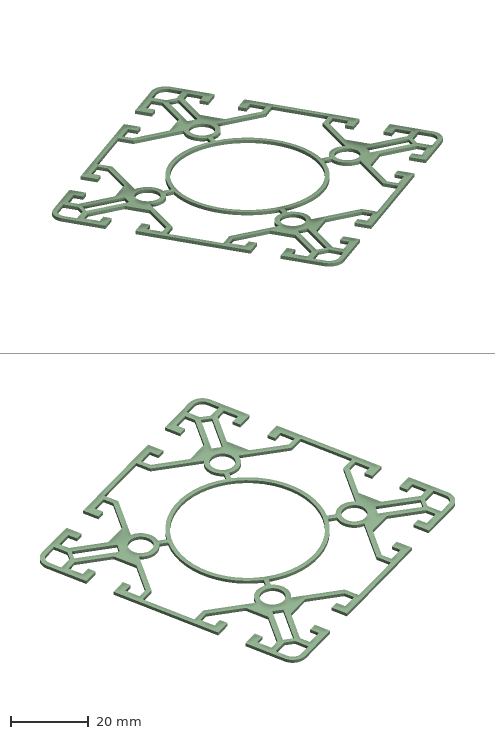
import cadquery as cq
import math

side = 80.0
thickness = 1.0
half_side = side / 2
slot_pitch = side / 2
node = slot_pitch / 2
corner_radius = 4.0
skin = 1.4

slot_mouth = 8.2
slot_width = 21.6
lip_thickness = 2.3
lip_depth = 4.6
flange = 2.0
slot_shoulder_depth = 5.0
slot_floor_depth = 12.3

corner_wall = 1.7
pocket_chamfer = 2.0

diagonal_slot_width = 3.0
diagonal_slot_length = 12.0
diagonal_slot_offset = 5.9

cavity_wall = 1.4
cavity_shoulder_depth = 5.7

screw_hole_diameter = 6.7
boss_diameter = 9.6
ring_inner_diameter = 40.0
ring_outer_diameter = 42.4
web_width = 1.4


def prism(points):
    return cq.Workplane("XY").polyline(points).close().extrude(thickness)


def disc(diameter, x=0, y=0):
    return cq.Workplane("XY").center(x, y).circle(diameter / 2).extrude(thickness)


def diagonal_bar(start, end, width):
    """Bar along the +X+Y diagonal between two distances from the centre."""
    length = end - start
    bar = cq.Workplane("XY").center((start + end) / 2, 0).rect(length, width).extrude(thickness)
    return bar.rotate((0, 0, 0), (0, 0, 1), 45)


def quarter_turns(shape):
    return [shape.rotate((0, 0, 0), (0, 0, 1), 90 * turn) for turn in range(4)]


def t_slot(x):
    """T-slot in the +Y side, centred at x."""
    mouth = slot_mouth / 2
    inside_lip = mouth + lip_thickness
    wide = slot_width / 2
    floor = wide - (slot_floor_depth - slot_shoulder_depth)
    right_half = [
        (mouth, 0),
        (mouth, lip_depth),
        (inside_lip, lip_depth),
        (inside_lip, flange),
        (wide, flange),
        (wide, slot_shoulder_depth),
        (floor, slot_floor_depth),
    ]
    right = [(x + across, half_side - depth) for across, depth in right_half]
    left = [(x - across, half_side - depth) for across, depth in reversed(right_half)]
    return prism(right + left)


def corner_pocket():
    """Pocket in the +X+Y corner, rounded outside and chamfered inside."""
    outer = half_side - skin
    inner = node + slot_width / 2 + corner_wall
    size = outer - inner
    middle = (outer + inner) / 2
    block = cq.Workplane("XY").center(middle, middle).rect(size, size).extrude(thickness)
    block = block.edges("|Z and >X and >Y").fillet(corner_radius - skin)
    return block.edges("|Z and <X and <Y").chamfer(pocket_chamfer)


def central_cavity():
    """Cross-shaped cavity with 45 degree flanks between its four arms."""
    arm_half_width = node - slot_width / 2 - cavity_wall
    arm_end = half_side - skin
    shoulder = half_side - cavity_shoulder_depth
    points = []
    for turn in range(4):
        angle = math.radians(90 * turn)
        for x, y in [
            (shoulder, -arm_half_width),
            (arm_end, -arm_half_width),
            (arm_end, arm_half_width),
            (shoulder, arm_half_width),
        ]:
            points.append((
                x * math.cos(angle) - y * math.sin(angle),
                x * math.sin(angle) + y * math.cos(angle),
            ))
    return prism(points)


profile = cq.Workplane("XY").rect(side, side).extrude(thickness)
profile = profile.edges("|Z").fillet(corner_radius)
profile = profile.cut(central_cavity())

hole_distance = node * math.sqrt(2)
slot_start = hole_distance + diagonal_slot_offset
diagonal_slot = diagonal_bar(slot_start, slot_start + diagonal_slot_length, diagonal_slot_width)
for cutter in [t_slot(-node), t_slot(node), corner_pocket(), diagonal_slot]:
    for turned_cutter in quarter_turns(cutter):
        profile = profile.cut(turned_cutter)

ring_middle = (ring_inner_diameter + ring_outer_diameter) / 4
web = diagonal_bar(ring_middle, hole_distance, web_width)
for support in [disc(boss_diameter, node, node), web]:
    for turned_support in quarter_turns(support):
        profile = profile.union(turned_support)
profile = profile.union(disc(ring_outer_diameter).cut(disc(ring_inner_diameter)))

for screw_hole in quarter_turns(disc(screw_hole_diameter, node, node)):
    profile = profile.cut(screw_hole)

result = profile